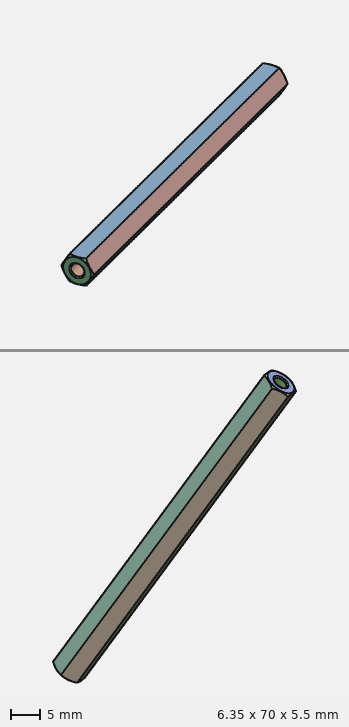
import cadquery as cq
import math

side_count = 6
across_flats = 5.5
length = 70.0

end_face_diameter = 5.275
end_chamfer_angle = 30.0

hole_diameter = 2.5
hole_depth = 10.0
drill_point_angle = 118.0
countersink_diameter = 3.0
countersink_angle = 90.0

across_corners = across_flats / math.cos(math.pi / side_count)
half_length = length / 2


def hexagon_bar():
    """Hexagonal bar with two flats facing up and down and corners on +X and -X."""
    return cq.Workplane("XZ").polygon(side_count, across_corners).extrude(half_length, both=True)


def chamfer_envelope():
    """Turned blank, coned at both ends, that trims the corners of the bar."""
    face_radius = end_face_diameter / 2
    corner_radius = across_corners / 2
    chamfer_length = (corner_radius - face_radius) * math.tan(math.radians(end_chamfer_angle))
    shoulder = half_length - chamfer_length
    return (
        cq.Workplane("XY")
        .moveTo(0, -half_length)
        .lineTo(face_radius, -half_length)
        .lineTo(corner_radius, -shoulder)
        .lineTo(corner_radius, shoulder)
        .lineTo(face_radius, half_length)
        .lineTo(0, half_length)
        .close()
        .revolve(360, (0, 0, 0), (0, 1, 0))
    )


def end_hole():
    """Countersunk hole with a conical drill point, entering from the -Y end."""
    hole_radius = hole_diameter / 2
    countersink_radius = countersink_diameter / 2
    countersink_depth = (countersink_radius - hole_radius) / math.tan(math.radians(countersink_angle / 2))
    point_depth = hole_radius / math.tan(math.radians(drill_point_angle / 2))
    wall_end = -half_length + hole_depth
    return (
        cq.Workplane("XY")
        .moveTo(0, -half_length)
        .lineTo(countersink_radius, -half_length)
        .lineTo(hole_radius, -half_length + countersink_depth)
        .lineTo(hole_radius, wall_end)
        .lineTo(0, wall_end + point_depth)
        .close()
        .revolve(360, (0, 0, 0), (0, 1, 0))
    )


front_hole = end_hole()
back_hole = front_hole.mirror("XZ")

result = hexagon_bar().intersect(chamfer_envelope()).cut(front_hole).cut(back_hole)